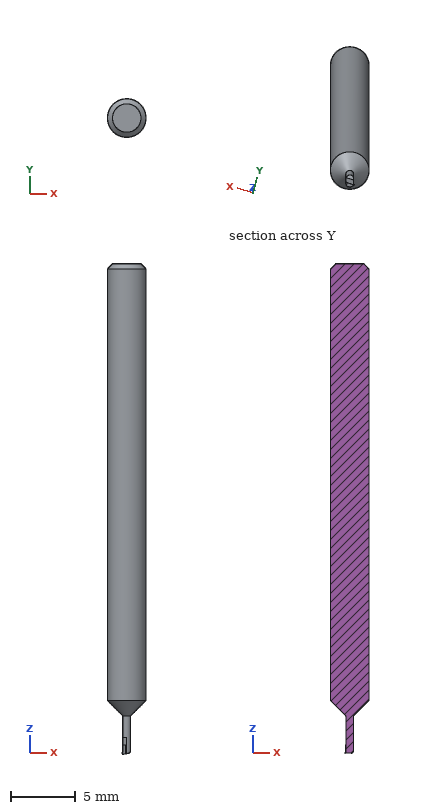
import cadquery as cq

total_length = 38.0
shank_radius = 1.5
end_chamfer = 0.4
neck_radius = 0.31
neck_length = 2.99

head_length = 1.3
rake_y_at_tip = 0.0
rake_y_at_top = 0.06
flank_y = -0.06
runout_rise = 0.3
end_rise = 0.1
back_corner_width = 0.1
back_corner_height = 0.25

tooth_reach = 0.38
tooth_point_z = 0.13
tooth_shoulder_z = 0.2
tooth_height = 0.75
tooth_heel_x = -0.1
tip_x = -0.3

clearance = 0.5
cutter_reach = neck_radius + clearance
cone_length = shank_radius - neck_radius


def make_blank():
    """Shank with chamfered top end, 45 degree taper and slim neck."""
    profile = [
        (0, 0),
        (neck_radius, 0),
        (neck_radius, neck_length),
        (shank_radius, neck_length + cone_length),
        (shank_radius, total_length - end_chamfer),
        (shank_radius - end_chamfer, total_length),
        (0, total_length),
    ]
    return cq.Workplane("XZ").polyline(profile).close().revolve(360, (0, 0, 0), (0, 1, 0))


def make_flank_cutter():
    """Prism that cuts the flank flat from the -X side round to the -Y extreme."""
    flank_x = -(neck_radius**2 - flank_y**2) ** 0.5
    corner = [
        (flank_x, flank_y),
        (0, -neck_radius),
        (0, -cutter_reach),
        (-cutter_reach, -cutter_reach),
        (-cutter_reach, flank_y),
    ]
    return cq.Workplane("XY").polyline(corner).close().extrude(head_length)


def make_tooth():
    """Pointed tooth on the -X side, thinning to its heel on the -Y side."""
    side = [
        (0, 0),
        (tip_x, 0),
        (-tooth_reach, tooth_point_z),
        (-neck_radius, tooth_shoulder_z),
        (-neck_radius, tooth_height),
        (0, tooth_height),
    ]
    heel_y = -(neck_radius**2 - tooth_heel_x**2) ** 0.5
    plan = [
        (-tooth_reach, rake_y_at_top),
        (-tooth_reach, rake_y_at_tip),
        (tooth_heel_x, heel_y),
        (0, 0),
        (0, rake_y_at_top),
    ]
    side_body = cq.Workplane("XZ").polyline(side).close().extrude(cutter_reach, both=True)
    plan_body = cq.Workplane("XY").polyline(plan).close().extrude(tooth_height)
    return side_body.intersect(plan_body)


def make_rake_cutter():
    """Body that clears the +Y half of the head, ending in a sloping runout."""
    runout_z = head_length + runout_rise
    outline = [
        (rake_y_at_tip, 0),
        (rake_y_at_top, head_length),
        (neck_radius, runout_z),
        (cutter_reach, runout_z),
        (cutter_reach, 0),
    ]
    return cq.Workplane("YZ").polyline(outline).close().extrude(cutter_reach, both=True)


def make_end_cutter():
    """Body below the head that forms the rising end face and back corner."""
    outline = [
        (tip_x, 0),
        (neck_radius - back_corner_width, end_rise),
        (neck_radius, back_corner_height),
        (cutter_reach, back_corner_height),
        (cutter_reach, -clearance),
        (tip_x, -clearance),
    ]
    return cq.Workplane("XZ").polyline(outline).close().extrude(cutter_reach, both=True)


head_blank = make_blank().cut(make_flank_cutter()).union(make_tooth())
result = head_blank.cut(make_rake_cutter()).cut(make_end_cutter())